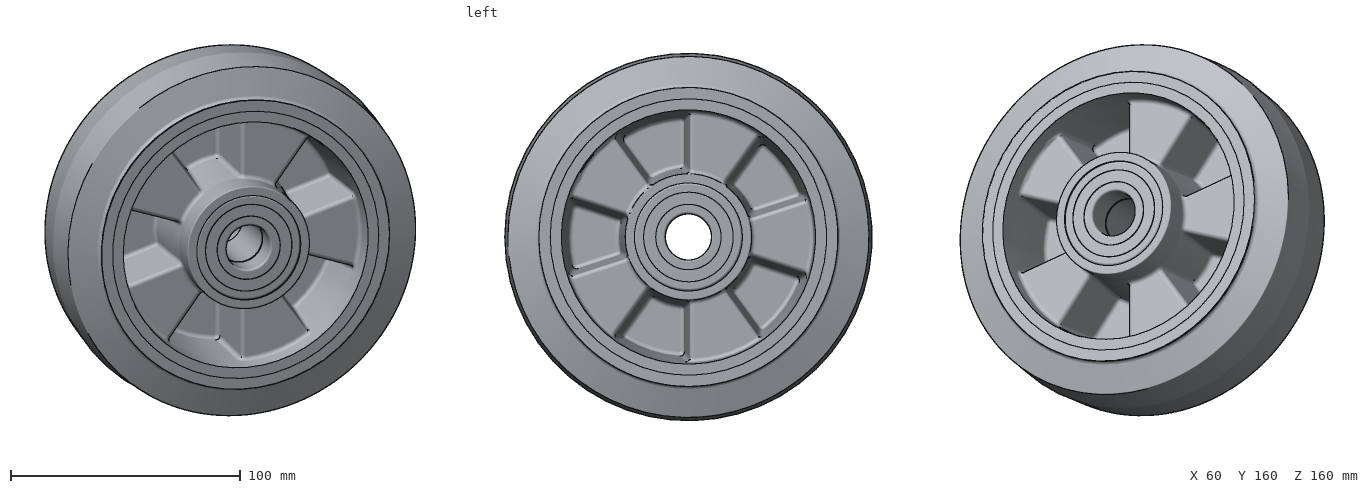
import cadquery as cq
import math


tyre_radius = 80.0
tread_edge_radius = 78.5
tread_half_width = 19.0
tread_edge_round = 0.5
flank_foot_x = 23.0
flank_foot_round = 1.6
step_radius = 65.1

rim_half_width = 25.0
rim_outer_radius = 60.2
rim_inner_radius = 55.4
rim_web_radius = 54.5
hub_length = 60.0
hub_radius = 27.5
hub_edge_round = 0.5

web_face_x = 16.0
web_thickness = 4.0
pockets_per_side = 5
draft = 5.5
pocket_side_shift = 0.8
web_round = 2.0

bearing_width = 14.0
bearing_radius = 23.5
bore_radius = 10.0
inner_ring_radius = 14.2
outer_ring_inner_radius = 19.5
ring_edge_round = 1.0
seal_recess = 0.3

hub_half_length = hub_length / 2
bearing_inner_x = hub_half_length - bearing_width
pocket_pitch = 360 / pockets_per_side
pocket_half_angle = pocket_pitch / 4
pocket_depth = 2 * web_face_x - web_thickness
pocket_floor_x = pocket_depth - web_face_x
draft_slope = math.tan(math.radians(draft))

overshoot = 8.0
cut_radius = rim_outer_radius + overshoot
cut_outer_x = -hub_half_length - overshoot


def about_axle(shape, angle):
    return shape.rotate((0, 0, 0), (1, 0, 0), angle)


def revolve_about_axle(outline):
    """Closed outline of (x, radius) points, revolved about the X axis."""
    return cq.Workplane("XY").polyline(outline).close().revolve(360, (0, 0, 0), (1, 0, 0))


def mirrored_outline(half):
    """Outline made of the points of the +X half and their mirror images."""
    return half + [(-x, radius) for x, radius in reversed(half)]


def ring(inner_x, outer_x, inner_radius, outer_radius, side=1):
    start = cq.Workplane("YZ", origin=(side * inner_x, 0, 0))
    return start.circle(outer_radius).circle(inner_radius).extrude(side * (outer_x - inner_x))


def round_circle(body, x, radius, size):
    """Fillet the circular edge of that radius in the plane at x."""
    circles = [
        edge
        for edge in body.edges("%CIRCLE").vals()
        if abs(edge.Center().x - x) < 0.02 and abs(edge.radius() - radius) < 0.02
    ]
    return body.newObject(circles).fillet(size)




def make_tyre():
    half = [
        (rim_half_width, rim_outer_radius),
        (rim_half_width, step_radius),
        (flank_foot_x, step_radius),
        (tread_half_width, tread_edge_radius),
    ]
    outline = mirrored_outline(half)
    outline.insert(len(half), (0, tyre_radius))
    tyre = revolve_about_axle(outline)
    for side in (-1, 1):
        tyre = round_circle(tyre, side * tread_half_width, tread_edge_radius, tread_edge_round)
        tyre = round_circle(tyre, side * flank_foot_x, step_radius, flank_foot_round)
    return tyre




def make_web_flank():
    """Web beside the pocket centred on +Y: a drafted wall whose edge with the web face is rounded."""
    wall_length = 2 * cut_radius
    profile = [
        (-web_face_x, pocket_side_shift),
        (-web_face_x, cut_radius),
        (pocket_floor_x, cut_radius),
        (pocket_floor_x, pocket_side_shift - pocket_depth * draft_slope),
    ]
    flank = cq.Workplane("XZ").polyline(profile).close().extrude(wall_length / 2, both=True)
    wall_top = cq.selectors.NearestToPointSelector((-web_face_x, 0, pocket_side_shift))
    return about_axle(flank.edges(wall_top).fillet(web_round), pocket_half_angle)


def make_pocket_wedge():
    """Pocket centred on +Y with both side walls, not yet bounded by the hub and the rim."""
    inner_y = outer_ring_inner_radius
    block = cq.Workplane("XY").box(
        pocket_depth, cut_radius - inner_y, cut_radius, centered=(False, False, True)
    )
    block = block.translate((-web_face_x, inner_y, 0))
    flank = make_web_flank()
    wedge = block.cut(flank).cut(flank.mirror("XY"))
    return wedge.faces(">X").edges("not |Z").fillet(web_round)


def wall_radii(x):
    """Radii of the hub wall and of the rim wall at x, on the -X side."""
    pocket_narrowing = max(0, x + web_face_x) * draft_slope
    hub_wall = hub_radius + pocket_narrowing
    mouth_share = min(1, (x + rim_half_width) / (rim_half_width - web_face_x))
    rim_wall = rim_inner_radius - mouth_share * (rim_inner_radius - rim_web_radius) - pocket_narrowing
    return hub_wall, rim_wall


def meets_wall(edge):
    """Whether an edge of the void is where the web meets the hub wall or the rim wall."""
    if edge.BoundingBox().xmin < -web_face_x - 0.02:
        return False
    points = edge.positions([0.05, 0.5, 0.95])
    for wall in (0, 1):
        if all(abs(math.hypot(p.y, p.z) - wall_radii(p.x)[wall]) < 0.03 for p in points):
            return True
    return False


def make_side_void():
    """Space between hub and rim on the -X side of the web."""
    wedge = make_pocket_wedge()
    wedges = [about_axle(wedge, i * pocket_pitch).val() for i in range(pockets_per_side)]
    slab = cq.Workplane("YZ", origin=(cut_outer_x, 0, 0)).circle(cut_radius)
    slab = slab.extrude(-web_face_x - cut_outer_x)
    above_web = cq.Workplane(slab.val().fuse(*wedges))

    end_x = pocket_floor_x + overshoot
    hub_end, rim_end = wall_radii(end_x)
    space = revolve_about_axle(
        [
            (cut_outer_x, hub_radius),
            (-web_face_x, hub_radius),
            (end_x, hub_end),
            (end_x, rim_end),
            (-web_face_x, rim_web_radius),
            (-rim_half_width, rim_inner_radius),
            (-rim_half_width, cut_radius),
            (cut_outer_x, cut_radius),
        ]
    )
    void = above_web.intersect(about_axle(space, 2 * pocket_half_angle))
    return void.newObject([edge for edge in void.edges().vals() if meets_wall(edge)]).fillet(web_round)


def make_core():
    core = ring(-hub_half_length, hub_half_length, outer_ring_inner_radius, rim_outer_radius)
    void = make_side_void()
    core = core.cut(void).cut(void.rotate((0, 0, 0), (0, 0, 1), 180))
    for side in (-1, 1):
        core = round_circle(core, side * hub_half_length, hub_radius, hub_edge_round)
        seat = ring(bearing_inner_x, hub_half_length, bore_radius, bearing_radius, side)
        core = core.cut(seat)
    return core




def make_outer_ring(side):
    outer_ring = ring(bearing_inner_x, hub_half_length, outer_ring_inner_radius, bearing_radius, side)
    return round_circle(outer_ring, side * hub_half_length, bearing_radius, ring_edge_round)


def make_inner_ring(side):
    inner_ring = ring(bearing_inner_x, hub_half_length, bore_radius, inner_ring_radius, side)
    for end_x in (bearing_inner_x, hub_half_length):
        inner_ring = round_circle(inner_ring, side * end_x, bore_radius, ring_edge_round)
    return inner_ring


def make_seal(side):
    outer_x = hub_half_length - seal_recess
    return ring(bearing_inner_x, outer_x, inner_ring_radius, outer_ring_inner_radius, side)


def make_spacer():
    return ring(-bearing_inner_x, bearing_inner_x, bore_radius, inner_ring_radius)


bodies = [make_tyre(), make_core(), make_spacer()]
for side in (-1, 1):
    bodies += [make_outer_ring(side), make_inner_ring(side), make_seal(side)]

result = cq.Compound.makeCompound([body.solids().val() for body in bodies])